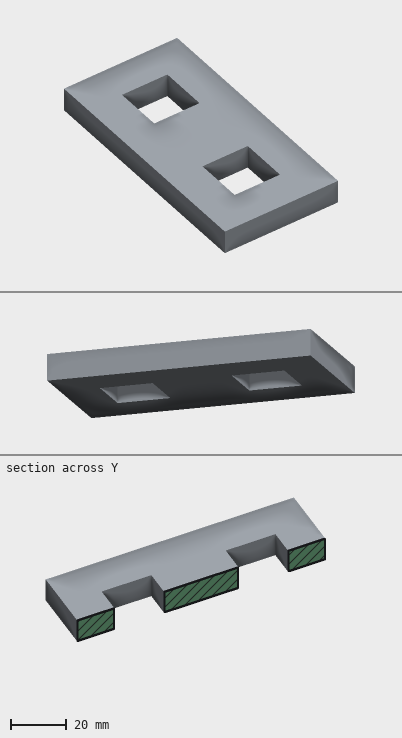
import cadquery as cq

length = 100.0
width = 50.0
thickness = 10.0

window_side = 20.0
window_margin = 15.0
window_spacing = length - 2 * window_margin - window_side

plate = cq.Workplane("XY").box(length, width, thickness)

result = (
    plate.faces(">Z")
    .workplane()
    .rarray(window_spacing, 1, 2, 1)
    .rect(window_side, window_side)
    .cutThruAll()
)